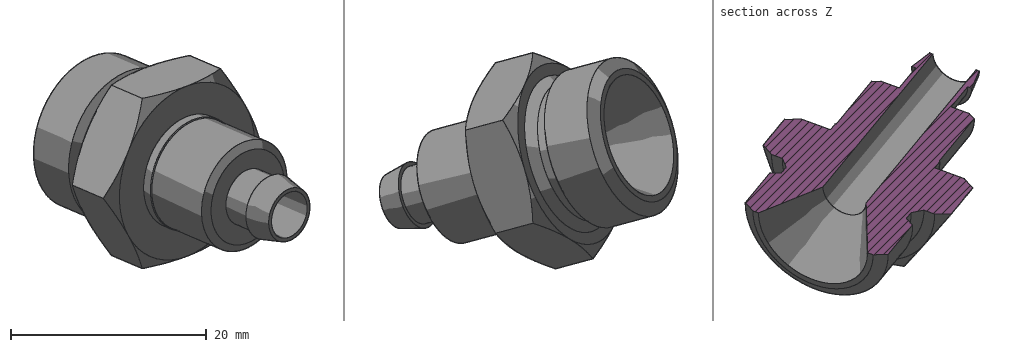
import cadquery as cq
import math


length = 30.0
thread_end = 6.0
relief_end = 7.55
hex_start = 8.5
hex_end = 14.8
collar_end = 15.8
sleeve_end = 23.8
barb_start = 27.25

thread_diameter = 16.66
thread_tip_diameter = 14.0
relief_diameter = 14.6
relief_shoulder_diameter = 16.5
collar_diameter = 12.2
sleeve_diameter = 12.0
stem_diameter = 6.1
barb_diameter = 7.0
barb_tip_diameter = 5.8
bore_diameter = 5.0
seat_diameter = 12.7

across_flats = 19.0
across_corners = across_flats / math.cos(math.radians(30))
hex_chamfer_angle = 30.0
thread_chamfer_angle = 30.0
sleeve_chamfer_length = 0.5
sleeve_chamfer_angle = 30.0
seat_included_angle = 60.0


def revolve_about_x(points):
    """Revolve a closed (x, radius) outline about the X axis."""
    return cq.Workplane("XY").polyline(points).close().revolve(360, (0, 0, 0), (1, 0, 0))


def turned_body():
    """Threaded end, thread relief, collar, sleeve, stem and hose barb."""
    thread_radius = thread_diameter / 2
    thread_tip_radius = thread_tip_diameter / 2
    relief_radius = relief_diameter / 2
    relief_shoulder_radius = relief_shoulder_diameter / 2
    collar_radius = collar_diameter / 2
    sleeve_radius = sleeve_diameter / 2
    stem_radius = stem_diameter / 2
    thread_chamfer_slope = math.tan(math.radians(thread_chamfer_angle))
    thread_chamfer_length = (thread_radius - thread_tip_radius) * thread_chamfer_slope
    sleeve_chamfer_height = sleeve_chamfer_length / math.tan(math.radians(sleeve_chamfer_angle))
    relief_start = thread_end + (thread_radius - relief_radius) * thread_chamfer_slope
    collar_step = collar_radius - sleeve_radius
    return revolve_about_x([
        (0, 0),
        (0, thread_tip_radius),
        (thread_chamfer_length, thread_radius),
        (thread_end, thread_radius),
        (relief_start, relief_radius),
        (relief_end, relief_radius),
        (hex_start, relief_shoulder_radius),
        (hex_end, relief_shoulder_radius),
        (hex_end, collar_radius),
        (collar_end, collar_radius),
        (collar_end + collar_step, sleeve_radius),
        (sleeve_end - sleeve_chamfer_length, sleeve_radius),
        (sleeve_end, sleeve_radius - sleeve_chamfer_height),
        (sleeve_end, stem_radius),
        (barb_start, stem_radius),
        (barb_start, barb_diameter / 2),
        (length, barb_tip_diameter / 2),
        (length, 0),
    ])


def wrench_hexagon():
    """Hexagon with corners on the Y axis, chamfered conically at both ends."""
    hexagon = (
        cq.Workplane("YZ", origin=(hex_start, 0, 0))
        .polygon(6, across_corners)
        .extrude(hex_end - hex_start)
    )
    flat_radius = across_flats / 2
    corner_radius = across_corners / 2
    chamfer_length = (corner_radius - flat_radius) * math.tan(math.radians(hex_chamfer_angle))
    chamfer_envelope = revolve_about_x([
        (hex_start, 0),
        (hex_start, flat_radius),
        (hex_start + chamfer_length, corner_radius),
        (hex_end - chamfer_length, corner_radius),
        (hex_end, flat_radius),
        (hex_end, 0),
    ])
    return hexagon.intersect(chamfer_envelope)


def bore_and_seat():
    """Through bore opening into a conical seat at the threaded end."""
    bore_radius = bore_diameter / 2
    seat_radius = seat_diameter / 2
    seat_depth = (seat_radius - bore_radius) / math.tan(math.radians(seat_included_angle / 2))
    return revolve_about_x([
        (0, 0),
        (0, seat_radius),
        (seat_depth, bore_radius),
        (length, bore_radius),
        (length, 0),
    ])


result = turned_body().union(wrench_hexagon()).cut(bore_and_seat())